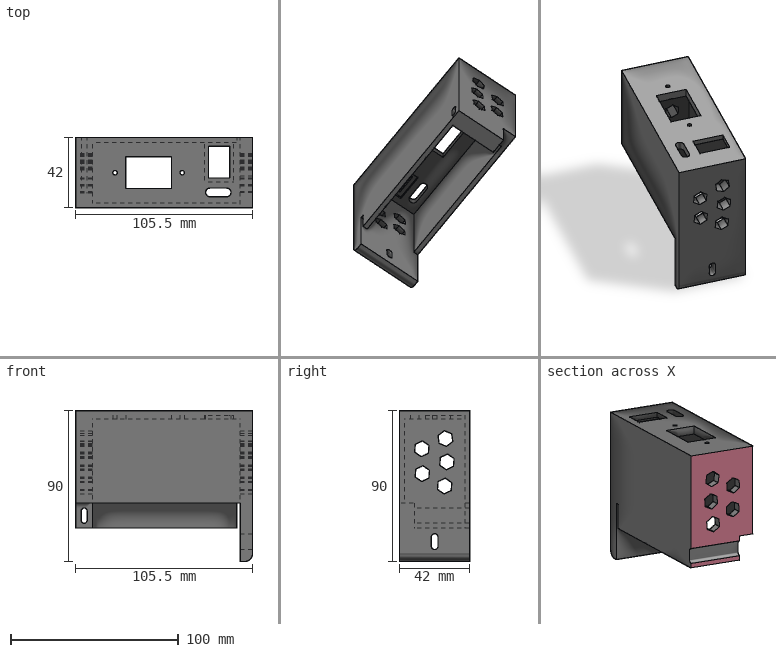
import cadquery as cq

length = 105.5
width = 42.0
height = 90.0

side_wall = 3.0
top_wall = 5.0
front_wall = 10.2
back_wall = 7.5
leg_corner_radius = 5.0

leg_drop = 35.0
skirt_drop = 15.0
skirt_inset = 9.0
skirt_gap = 2.0
rim_z = leg_drop
skirt_z = rim_z - skirt_drop
leg_x = length - back_wall

socket_length = 27.0
socket_width = 18.75
socket_x = 43.5
screw_spacing = 40.0
screw_diameter = 2.5

switch_length = 12.5
switch_width = 18.75
switch_x = 85.45
switch_y = 27.25
switch_wall = 3.0
recess_margin = width - side_wall - (switch_y + switch_width / 2)

cable_slot_length = 15.0
cable_slot_width = 5.0
cable_slot_x = 85.0
cable_slot_y = 9.25

skirt_slot_height = 9.0
skirt_slot_width = 3.4
leg_slot_height = 9.25
leg_slot_width = 3.9
leg_slot_z = 12.0

vent_radius = 4.65
vents = [
    (27.4, 73.4, 8.0),
    (13.35, 67.3, -4.5),
    (28.3, 59.5, -4.5),
    (13.65, 52.5, -4.5),
    (26.95, 45.1, -4.5),
]


def block(x_range, y_range, z_range):
    """Box spanning the given (low, high) limits on each axis."""
    limits = (x_range, y_range, z_range)
    sizes = [high - low for low, high in limits]
    corner = tuple(low for low, high in limits)
    return cq.Workplane("XY").box(*sizes, centered=False).translate(corner)


def make_shell():
    """Hollow cover with its leg at +X and its skirt around -X and +Y."""
    cover = block((0, length), (0, width), (rim_z, height))
    leg = block((leg_x, length), (0, width), (0, rim_z))
    leg = leg.edges("|Y and >X and <Z").fillet(leg_corner_radius)
    skirt = block((0, leg_x - skirt_gap), (skirt_inset, width), (skirt_z, rim_z))
    cavity = block(
        (front_wall, leg_x),
        (side_wall, width - side_wall),
        (skirt_z, height - top_wall),
    )
    return cover.union(leg).union(skirt).cut(cavity)


def cut_top_openings(body):
    """Cut the socket, screw, switch and cable openings through the top wall."""
    top = cq.Workplane("XY", origin=(0, 0, height))
    mid_y = width / 2
    half_spacing = screw_spacing / 2
    socket = top.center(socket_x, mid_y).rect(socket_length, socket_width).extrude(-top_wall)
    screws = (
        top.center(socket_x, mid_y)
        .pushPoints([(-half_spacing, 0), (half_spacing, 0)])
        .circle(screw_diameter / 2)
        .extrude(-top_wall)
    )
    switch = top.center(switch_x, switch_y).rect(switch_length, switch_width).extrude(-top_wall)
    recess = (
        top.workplane(offset=-top_wall)
        .center(switch_x, switch_y)
        .rect(switch_length + 2 * recess_margin, switch_width + 2 * recess_margin)
        .extrude(top_wall - switch_wall)
    )
    cable_slot = (
        top.center(cable_slot_x, cable_slot_y)
        .slot2D(cable_slot_length, cable_slot_width)
        .extrude(-top_wall)
    )
    for opening in (socket, screws, switch, recess, cable_slot):
        body = body.cut(opening)
    return body


def cut_mounting_slots(body):
    """Cut the upright slots through the -X end of the skirt and through the leg."""
    skirt_slot = (
        cq.Workplane("XZ", origin=(front_wall / 2, 0, (skirt_z + rim_z) / 2))
        .slot2D(skirt_slot_height, skirt_slot_width, 90)
        .extrude(-width)
    )
    leg_slot = (
        cq.Workplane("YZ", origin=(leg_x, width / 2, leg_slot_z))
        .slot2D(leg_slot_height, leg_slot_width, 90)
        .extrude(back_wall)
    )
    return body.cut(skirt_slot).cut(leg_slot)


def cut_vents(body):
    """Cut the tilted hexagonal vents through both end walls."""
    upright = 90.0
    for y, z, tilt in vents:
        vent = (
            cq.Workplane("YZ", origin=(0, y, z))
            .transformed(rotate=(0, 0, upright + tilt))
            .polygon(6, 2 * vent_radius)
            .extrude(length)
        )
        body = body.cut(vent)
    return body


result = cut_vents(cut_mounting_slots(cut_top_openings(make_shell())))